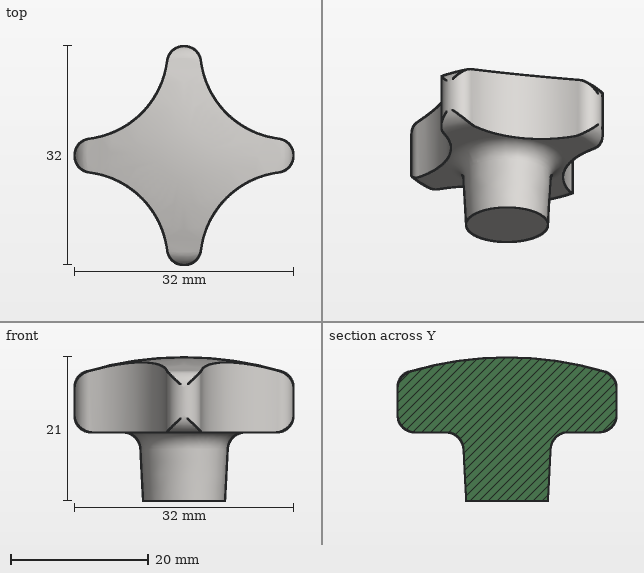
import cadquery as cq
import math

knob_height = 21.0
head_radius = 16.0
head_bottom = 10.0
dome_radius = 50.0
edge_radius = 2.5
tip_radius = 2.5
lobe_count = 4
scallop_radius = 13.0

hub_foot_radius = 6.0
hub_taper = math.radians(3.0)
hub_fillet_radius = 2.5


def toward(start, target, distance):
    """Point at a given distance from start, in the direction of target."""
    length = math.dist(start, target)
    return tuple(s + (t - s) * distance / length for s, t in zip(start, target))


def polar(radius, angle):
    return radius * math.cos(angle), radius * math.sin(angle)


def make_head_blank():
    """Round domed disc with both rims rounded."""
    rim_axis_radius = head_radius - edge_radius
    dome_center_z = knob_height - dome_radius
    upper_rim_z = dome_center_z + math.sqrt((dome_radius - edge_radius) ** 2 - rim_axis_radius**2)
    lower_rim_z = head_bottom + edge_radius

    dome_center = (0, dome_center_z)
    dome_end = toward(dome_center, (rim_axis_radius, upper_rim_z), dome_radius)
    dome_end_angle = math.asin(rim_axis_radius / (dome_radius - edge_radius))
    dome_mid = (
        dome_radius * math.sin(dome_end_angle / 2),
        dome_center_z + dome_radius * math.cos(dome_end_angle / 2),
    )
    profile = (
        cq.Workplane("XZ")
        .moveTo(0, head_bottom)
        .lineTo(rim_axis_radius, head_bottom)
        .tangentArcPoint((head_radius, lower_rim_z), relative=False)
        .lineTo(head_radius, upper_rim_z)
        .tangentArcPoint(dome_end, relative=False)
        .threePointArc(dome_mid, (0, knob_height))
        .close()
    )
    return profile.revolve(360, (0, 0), (0, 1))


def make_star_prism():
    """Star outline of tip arcs joined tangentially by concave scallops."""
    tip_distance = head_radius - tip_radius
    lobe_pitch = 2 * math.pi / lobe_count
    half_pitch = lobe_pitch / 2

    across = tip_distance * math.sin(half_pitch)
    along = tip_distance * math.cos(half_pitch)
    scallop_distance = along + math.sqrt((tip_radius + scallop_radius) ** 2 - across**2)
    waist_radius = scallop_distance - scallop_radius
    tip_center = (tip_distance, 0)
    scallop_center = polar(scallop_distance, half_pitch)

    joint = toward(tip_center, scallop_center, tip_radius)
    joint_radius = math.hypot(*joint)
    joint_angle = math.atan2(joint[1], joint[0])

    outline = cq.Workplane("XY").moveTo(*polar(joint_radius, -joint_angle))
    for lobe in range(lobe_count):
        lobe_angle = lobe * lobe_pitch
        next_angle = lobe_angle + lobe_pitch
        outline = outline.threePointArc(
            polar(head_radius, lobe_angle),
            polar(joint_radius, lobe_angle + joint_angle),
        )
        outline = outline.threePointArc(
            polar(waist_radius, lobe_angle + half_pitch),
            polar(joint_radius, next_angle - joint_angle),
        )
    return outline.close().extrude(knob_height)


def make_hub():
    """Tapered hub, wider toward the head, flaring into the head's underside."""
    fillet_start_z = head_bottom - hub_fillet_radius * (1 - math.sin(hub_taper))
    fillet_start_radius = hub_foot_radius + fillet_start_z * math.tan(hub_taper)
    fillet_end_radius = fillet_start_radius + hub_fillet_radius * math.cos(hub_taper)
    profile = (
        cq.Workplane("XZ")
        .lineTo(hub_foot_radius, 0)
        .lineTo(fillet_start_radius, fillet_start_z)
        .tangentArcPoint((fillet_end_radius, head_bottom), relative=False)
        .lineTo(0, head_bottom)
        .close()
    )
    return profile.revolve(360, (0, 0), (0, 1))


round_knob = make_head_blank().union(make_hub())
result = round_knob.intersect(make_star_prism())